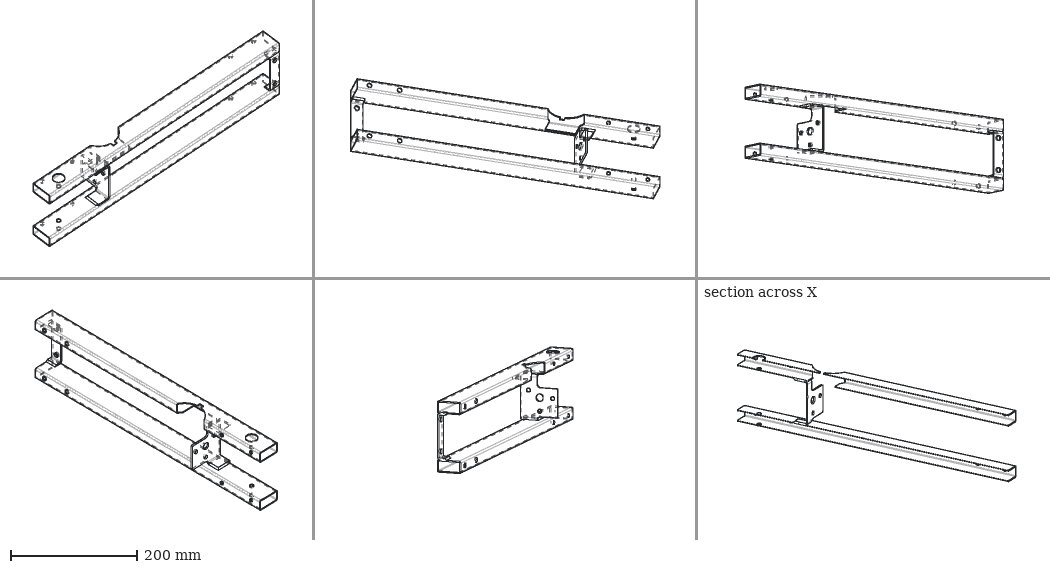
import cadquery as cq
import math

RAIL_LENGTH = 500.0
RAIL_WIDTH = 40.0
RAIL_HEIGHT = 20.0
RAIL_WALL = 2.0
RAIL_CORNER_RADIUS = 3.0
FRAME_HEIGHT = 115.0

RAIL_CENTER_Z = (FRAME_HEIGHT - RAIL_HEIGHT) / 2
GAP_HEIGHT = FRAME_HEIGHT - 2 * RAIL_HEIGHT
FRONT_Y = -RAIL_LENGTH / 2
BACK_Y = RAIL_LENGTH / 2
LEFT_X = -RAIL_WIDTH / 2
RIGHT_X = RAIL_WIDTH / 2

SIDE_HOLES = [
    (FRONT_Y + 20.0, 6.0),
    (FRONT_Y + 85.0, 6.0),
    (BACK_Y - 70.0, 7.5),
    (BACK_Y - 20.0, 7.5),
]

BOLT_HOLE_Y = FRONT_Y + 37.5
BOLT_HOLE_DIAMETER = 7.0
ACCESS_HOLE_DIAMETER = 20.0

CUTOUT_RADIUS = 33.0
CUTOUT_DEPTH = 20.4
CUTOUT_Y = FRONT_Y + 155.0
KEYWAY_WIDTH = 8.0
KEYWAY_END_X = 6.0

OPENING_LENGTH = 50.0
OPENING_RIGHT_X = 14.0

SHEET = 3.0
BEND_INNER_RADIUS = 1.5
BEND_OUTER_RADIUS = BEND_INNER_RADIUS + SHEET

WELD_LEG = 2.8

MOTOR_PLATE_BACK_Y = FRONT_Y + 130.0
MOTOR_FLANGE_LENGTH = 24.0
MOTOR_WEB_WIDTH = 28.0
MOTOR_FLANGE_INSET = 2.0
MOTOR_TAB_OVERHANG = 23.0
MOTOR_TAB_TOP_Z = 16.0
MOTOR_TAB_BOTTOM_Z = -31.0
MOTOR_TAB_CORNER_RADIUS = 2.0
MOTOR_NECK_RADIUS = 6.0
SHAFT_X = -12.3
SHAFT_HOLE_DIAMETER = 12.0
MOTOR_SCREW_CIRCLE_RADIUS = 22.0
MOTOR_SCREW_HOLE_DIAMETER = 6.5
MOTOR_SCREW_ANGLES = [30.0, 180.0, 270.0]

END_BRACKET_WIDTH = 20.0
END_FLANGE_LENGTH = 12.5
END_HOLE_DIAMETER = 8.0
END_HOLE_SPACING = 51.5


def cylinder_x(x_start, length, y, z, diameter):
    """Cylinder along +X."""
    start = cq.Vector(x_start, y, z)
    return cq.Workplane(cq.Solid.makeCylinder(diameter / 2, length, start, cq.Vector(1, 0, 0)))


def cylinder_y(x, y_start, length, z, diameter):
    """Cylinder along +Y."""
    start = cq.Vector(x, y_start, z)
    return cq.Workplane(cq.Solid.makeCylinder(diameter / 2, length, start, cq.Vector(0, 1, 0)))


def cylinder_z(x, y, z_start, length, diameter):
    """Cylinder along +Z."""
    start = cq.Vector(x, y, z_start)
    return cq.Workplane(cq.Solid.makeCylinder(diameter / 2, length, start, cq.Vector(0, 0, 1)))


def make_rail(center_z):
    """Rounded tube with the holes common to both rails."""
    rail = cq.Workplane("XY").box(RAIL_WIDTH, RAIL_LENGTH, RAIL_HEIGHT)
    rail = rail.edges("|Y").fillet(RAIL_CORNER_RADIUS)
    bore = cq.Workplane("XY").box(RAIL_WIDTH - 2 * RAIL_WALL, RAIL_LENGTH, RAIL_HEIGHT - 2 * RAIL_WALL)
    bore = bore.edges("|Y").fillet(RAIL_CORNER_RADIUS - RAIL_WALL)
    rail = rail.cut(bore)
    for hole_y, diameter in SIDE_HOLES:
        rail = rail.cut(cylinder_x(LEFT_X, RAIL_WIDTH / 2, hole_y, 0, diameter))
    rail = rail.cut(cylinder_z(0, BOLT_HOLE_Y, -RAIL_HEIGHT / 2, RAIL_HEIGHT, BOLT_HOLE_DIAMETER))
    return rail.translate((0, 0, center_z))


def make_upper_rail():
    """Upper rail with the access hole, the keyed round cutout and the bottom opening."""
    bottom_z = RAIL_CENTER_Z - RAIL_HEIGHT / 2
    cutout_center_x = LEFT_X + CUTOUT_DEPTH - CUTOUT_RADIUS
    keyway_length = KEYWAY_END_X - cutout_center_x
    keyway = cq.Workplane("XY").box(keyway_length, KEYWAY_WIDTH, RAIL_HEIGHT, centered=(False, True, False))
    rail = make_rail(RAIL_CENTER_Z)
    rail = rail.cut(cylinder_z(0, BOLT_HOLE_Y, RAIL_CENTER_Z, RAIL_HEIGHT / 2, ACCESS_HOLE_DIAMETER))
    rail = rail.cut(cylinder_z(cutout_center_x, CUTOUT_Y, bottom_z, RAIL_HEIGHT, 2 * CUTOUT_RADIUS))
    rail = rail.cut(keyway.translate((cutout_center_x, CUTOUT_Y, bottom_z)))
    opening_width = OPENING_RIGHT_X - LEFT_X
    opening = cq.Workplane("XY").box(opening_width, OPENING_LENGTH, RAIL_WALL, centered=(False, True, False))
    return rail.cut(opening.translate((LEFT_X, CUTOUT_Y, bottom_z)))


def make_channel(flange_length, width):
    """Bent U channel filling the gap: web back on X = 0, flanges toward -X, width along +Y."""
    channel = cq.Workplane("XY").box(flange_length, width, GAP_HEIGHT, centered=(False, False, True))
    channel = channel.translate((-flange_length, 0, 0)).edges("|Y and >X").fillet(BEND_OUTER_RADIUS)
    inside = cq.Workplane("XY").box(
        flange_length, width, GAP_HEIGHT - 2 * SHEET, centered=(False, False, True)
    )
    inside = inside.translate((-flange_length - SHEET, 0, 0)).edges("|Y and >X").fillet(BEND_INNER_RADIUS)
    return channel.cut(inside)


def weld_profile(plane, toe, end):
    """Outline on the lower rail surface: 45 degree slope rising from the toe, square at the end."""
    bottom_z = -GAP_HEIGHT / 2
    top_z = bottom_z + WELD_LEG
    points = [(toe, bottom_z), (end, bottom_z), (end, top_z), (toe + WELD_LEG, top_z)]
    return cq.Workplane(plane).polyline(points).close()


def add_mirrored(body, lower):
    """Join a lower feature and its mirror image above Z = 0."""
    return body.union(lower).union(lower.mirror("XY"))


def trim_and_weld_motor_flanges(channel):
    """Narrow the flanges on the left, then weld along their left and front edges."""
    web_left_x = RIGHT_X - MOTOR_WEB_WIDTH
    bend_front_y = MOTOR_PLATE_BACK_Y - BEND_OUTER_RADIUS
    flange_front_y = MOTOR_PLATE_BACK_Y - MOTOR_FLANGE_LENGTH
    trim = cq.Workplane("XY").box(
        MOTOR_FLANGE_INSET, bend_front_y - flange_front_y, GAP_HEIGHT, centered=(False, False, True)
    )
    channel = channel.cut(trim.translate((web_left_x, flange_front_y, 0)))

    weld_front_y = flange_front_y - WELD_LEG
    weld_left_x = web_left_x + MOTOR_FLANGE_INSET - WELD_LEG
    weld_right_x = RIGHT_X - RAIL_CORNER_RADIUS
    side_slope = weld_profile("XZ", weld_left_x, weld_right_x).extrude(-RAIL_LENGTH, both=True)
    front_slope = weld_profile("YZ", weld_front_y, bend_front_y).extrude(RAIL_WIDTH, both=True)
    return add_mirrored(channel, side_slope.intersect(front_slope))


def make_neck_corner(tab_edge_z):
    """Concave round between the upper tab edge and the web, ending where the bend begins."""
    web_left_x = RIGHT_X - MOTOR_WEB_WIDTH
    plate_front_y = MOTOR_PLATE_BACK_Y - SHEET
    height = min(MOTOR_NECK_RADIUS, GAP_HEIGHT / 2 - BEND_OUTER_RADIUS - tab_edge_z)
    round_x = web_left_x - MOTOR_NECK_RADIUS
    round_z = tab_edge_z + MOTOR_NECK_RADIUS
    block = cq.Workplane("XY").box(MOTOR_NECK_RADIUS, SHEET, height, centered=False)
    block = block.translate((round_x, plate_front_y, tab_edge_z))
    return block.cut(cylinder_y(round_x, plate_front_y, SHEET, round_z, 2 * MOTOR_NECK_RADIUS))


def make_motor_bracket():
    """Channel with a tab past the left side of the rails, shaft hole and screw holes."""
    channel = make_channel(MOTOR_FLANGE_LENGTH, MOTOR_WEB_WIDTH)
    channel = channel.rotate((0, 0, 0), (0, 0, 1), 90).translate((RIGHT_X, MOTOR_PLATE_BACK_Y, 0))
    channel = trim_and_weld_motor_flanges(channel)

    web_left_x = RIGHT_X - MOTOR_WEB_WIDTH
    tab_left_x = LEFT_X - MOTOR_TAB_OVERHANG
    plate_front_y = MOTOR_PLATE_BACK_Y - SHEET
    tab_height = MOTOR_TAB_TOP_Z - MOTOR_TAB_BOTTOM_Z
    tab = cq.Workplane("XY").box(web_left_x - tab_left_x, SHEET, tab_height, centered=False)
    tab = tab.edges("|Y and <X").fillet(MOTOR_TAB_CORNER_RADIUS)
    bracket = channel.union(tab.translate((tab_left_x, plate_front_y, MOTOR_TAB_BOTTOM_Z)))
    bracket = bracket.union(make_neck_corner(MOTOR_TAB_TOP_Z))
    bracket = bracket.union(make_neck_corner(-MOTOR_TAB_BOTTOM_Z).mirror("XY"))

    bracket = bracket.cut(cylinder_y(SHAFT_X, plate_front_y, SHEET, 0, SHAFT_HOLE_DIAMETER))
    for angle in MOTOR_SCREW_ANGLES:
        screw_x = SHAFT_X + MOTOR_SCREW_CIRCLE_RADIUS * math.cos(math.radians(angle))
        screw_z = MOTOR_SCREW_CIRCLE_RADIUS * math.sin(math.radians(angle))
        bracket = bracket.cut(cylinder_y(screw_x, plate_front_y, SHEET, screw_z, MOTOR_SCREW_HOLE_DIAMETER))
    return bracket


def make_end_bracket():
    """Channel tying the back ends of the rails together, with two holes in its web."""
    bracket = make_channel(END_FLANGE_LENGTH, END_BRACKET_WIDTH)
    bracket = bracket.translate((RIGHT_X, BACK_Y - END_BRACKET_WIDTH, 0))
    flange_left_x = RIGHT_X - END_FLANGE_LENGTH
    bend_left_x = RIGHT_X - BEND_OUTER_RADIUS
    weld = weld_profile("XZ", flange_left_x - WELD_LEG, bend_left_x).extrude(-END_BRACKET_WIDTH)
    bracket = add_mirrored(bracket, weld.translate((0, BACK_Y - END_BRACKET_WIDTH, 0)))
    hole_y = BACK_Y - END_BRACKET_WIDTH / 2
    for side in (-1, 1):
        hole_z = side * END_HOLE_SPACING / 2
        bracket = bracket.cut(cylinder_x(RIGHT_X - SHEET, SHEET, hole_y, hole_z, END_HOLE_DIAMETER))
    return bracket


result = (
    make_upper_rail()
    .union(make_rail(-RAIL_CENTER_Z))
    .union(make_motor_bracket())
    .union(make_end_bracket())
)